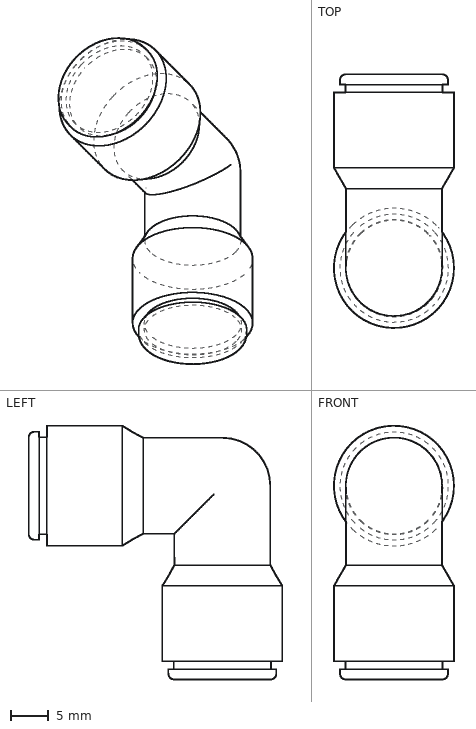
import cadquery as cq

tube_diameter = 12.8
body_diameter = 16.0
neck_diameter = 12.96
collar_diameter = 14.4

tube_end = 10.55
body_start = 13.32
body_end = 23.35
collar_start = 24.38
leg_length = 25.78

collar_edge_rounding = 0.8

tube_radius = tube_diameter / 2
body_radius = body_diameter / 2
neck_radius = neck_diameter / 2
collar_radius = collar_diameter / 2


def make_leg():
    """Revolve one leg about the Z axis, running from the origin down to -leg_length."""
    profile = (
        cq.Workplane("XZ")
        .moveTo(0, 0)
        .lineTo(tube_radius, 0)
        .lineTo(tube_radius, -tube_end)
        .lineTo(body_radius, -body_start)
        .lineTo(body_radius, -body_end)
        .lineTo(neck_radius, -body_end)
        .lineTo(neck_radius, -collar_start)
        .lineTo(collar_radius, -collar_start)
        .lineTo(collar_radius, -leg_length)
        .lineTo(0, -leg_length)
        .close()
    )
    leg = profile.revolve(360, (0, 0, 0), (0, 1, 0))
    return leg.faces("<Z").edges().fillet(collar_edge_rounding)


def make_corner():
    """Ball that rounds the outside of the bend."""
    return cq.Workplane("XY").sphere(tube_radius)


lower_leg = make_leg()
rear_leg = make_leg().rotate((0, 0, 0), (1, 0, 0), 90)

result = lower_leg.union(rear_leg).union(make_corner())